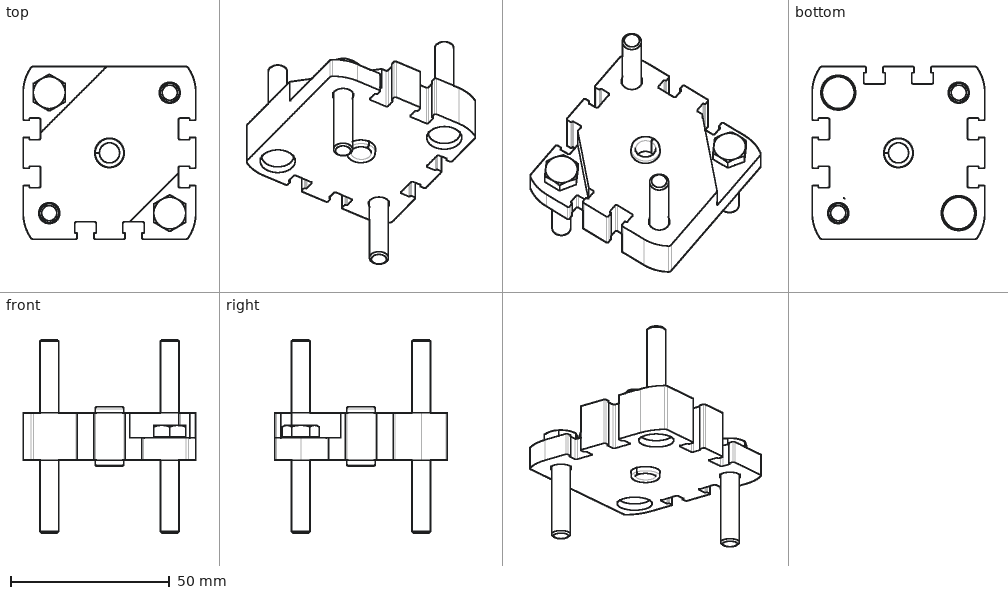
import cadquery as cq
import math

plate_side = 54.5
plate_height = 14.9
half_side = plate_side / 2
half_height = plate_height / 2
bolt_offset = 19.0
corner_arc_radius = 13.95
corner_fillet = 1.1

slot_offset = 7.55
slot_depth = 5.5
slot_width = 6.7
slot_mouth = 5.3
slot_lip = 2.0
slot_mouth_round = 0.5
slot_step_round = 0.2
slot_floor_round = 0.5
slot_near_edge = slot_offset - slot_mouth / 2

shank_diameter = 6.0
bolt_hole_diameter = 6.6
bolt_tip = 30.5
bolt_length = 30.0
tip_chamfer = 0.6
bearing_z = bolt_tip - bolt_length

hex_sides = 6
hex_across_flats = 10.0
hex_across_corners = hex_across_flats / math.cos(math.pi / hex_sides)
hex_head_height = 3.95
hex_chamfer_angle = 30.0
collar_diameter = 8.9
collar_height = 0.4
diagonal_offset = 28.05

cap_head_diameter = 10.0
cap_head_height = shank_diameter
counterbore_diameter = 11.0

sleeve_diameter = 9.0
sleeve_bore = 6.35
sleeve_slit = 0.2
sleeve_protrusion = 1.95
bore_diameter = 9.3
bore_depth = 5.0

hex_bolt_places = [(-bolt_offset, bolt_offset), (bolt_offset, -bolt_offset)]
cap_screw_places = [(-bolt_offset, -bolt_offset), (bolt_offset, bolt_offset)]


def plate_blank():
    """Square plate whose left and right sides curve inwards towards the corners."""
    arc_centre_x = half_side - corner_arc_radius
    rise = half_side - bolt_offset
    corner_x = arc_centre_x + math.sqrt(corner_arc_radius**2 - rise**2)
    half_angle = math.asin(rise / corner_arc_radius) / 2
    mid_x = arc_centre_x + corner_arc_radius * math.cos(half_angle)
    mid_y = bolt_offset + corner_arc_radius * math.sin(half_angle)
    return (
        cq.Workplane("XY", origin=(0, 0, -half_height))
        .moveTo(-corner_x, -half_side)
        .lineTo(corner_x, -half_side)
        .threePointArc((mid_x, -mid_y), (half_side, -bolt_offset))
        .lineTo(half_side, bolt_offset)
        .threePointArc((mid_x, mid_y), (corner_x, half_side))
        .lineTo(-corner_x, half_side)
        .threePointArc((-mid_x, mid_y), (-half_side, bolt_offset))
        .lineTo(-half_side, -bolt_offset)
        .threePointArc((-mid_x, -mid_y), (-corner_x, -half_side))
        .close()
        .extrude(plate_height)
        .edges("|Z and (>Y or <Y)")
        .fillet(corner_fillet)
    )


def t_slot(offset):
    """Cutter for one T-slot in the -Y side, with rounded mouth, lip and floor corners."""
    mouth = slot_mouth / 2
    wide = slot_width / 2
    lip_y = -half_side + slot_lip
    floor_y = -half_side + slot_depth
    round_y = -half_side + slot_mouth_round
    lip_corners = cq.selectors.BoxSelector(
        (offset - mouth - slot_step_round / 2, lip_y - slot_step_round / 2, -half_height),
        (offset + mouth + slot_step_round / 2, lip_y + slot_step_round / 2, half_height),
    )
    return (
        cq.Workplane("XY", origin=(offset, 0, -half_height))
        .moveTo(-mouth - slot_mouth_round, -half_side)
        .radiusArc((-mouth, round_y), -slot_mouth_round)
        .lineTo(-mouth, lip_y)
        .lineTo(-wide, lip_y)
        .lineTo(-wide, floor_y)
        .lineTo(wide, floor_y)
        .lineTo(wide, lip_y)
        .lineTo(mouth, lip_y)
        .lineTo(mouth, round_y)
        .radiusArc((mouth + slot_mouth_round, -half_side), -slot_mouth_round)
        .close()
        .extrude(plate_height)
        .edges("|Z and (<X or >X) and (not >Y)")
        .fillet(slot_step_round)
        .edges("|Z")
        .edges(lip_corners)
        .fillet(slot_step_round)
        .edges("|Z and >Y")
        .fillet(slot_floor_round)
    )


def corner_pocket(inner_end):
    """Cutter that lowers the (+X, -Y) corner to the bearing face of a hexagon bolt.

    The diagonal wall starts at x = inner_end and ends in the mouth of the +X side's slot.
    """
    return (
        cq.Workplane("XY", origin=(0, 0, -bearing_z))
        .moveTo(inner_end, inner_end - diagonal_offset)
        .lineTo(diagonal_offset - slot_near_edge, -slot_near_edge)
        .lineTo(plate_side, -slot_near_edge)
        .lineTo(plate_side, -plate_side)
        .lineTo(inner_end, -plate_side)
        .close()
        .extrude(plate_height)
    )


def make_plate():
    plate = plate_blank()
    for turn in (-90, 0, 90):
        for offset in (-slot_offset, slot_offset):
            plate = plate.cut(t_slot(offset).rotate((0, 0, 0), (0, 0, 1), turn))
    slotted_corner = corner_pocket(slot_near_edge)
    half_slotted_corner = corner_pocket(diagonal_offset - half_side)
    plate = plate.cut(slotted_corner)
    plate = plate.cut(half_slotted_corner.rotate((0, 0, 0), (0, 0, 1), 180))
    bolt_holes = (
        cq.Workplane("XY", origin=(0, 0, -half_height))
        .pushPoints(hex_bolt_places + cap_screw_places)
        .circle(bolt_hole_diameter / 2)
        .extrude(plate_height)
    )
    counterbores = (
        cq.Workplane("XY", origin=(0, 0, -half_height))
        .pushPoints(cap_screw_places)
        .circle(counterbore_diameter / 2)
        .extrude(half_height + bearing_z)
    )
    plate = plate.cut(bolt_holes).cut(counterbores)
    for start in (-half_height, half_height - bore_depth):
        bore = cq.Workplane("XY", origin=(0, 0, start)).circle(bore_diameter / 2).extrude(bore_depth)
        plate = plate.cut(bore)
    return plate


def bolt_shank():
    """Shank pointing up, from the bearing face at z = 0 to a chamfered tip."""
    return (
        cq.Workplane("XY")
        .circle(shank_diameter / 2)
        .extrude(bolt_length)
        .faces(">Z")
        .chamfer(tip_chamfer)
    )


def make_hex_bolt(place):
    """Hexagon bolt pointing down, with its head in an open corner pocket."""
    corner_radius = hex_across_corners / 2
    top_radius = hex_across_flats / 2
    chamfer_drop = (corner_radius - top_radius) * math.tan(math.radians(hex_chamfer_angle))
    head = (
        cq.Workplane("XY", origin=(0, 0, collar_height))
        .polygon(hex_sides, hex_across_corners)
        .extrude(hex_head_height - collar_height)
        .rotate((0, 0, 0), (0, 0, 1), 180 / hex_sides)
    )
    chamfer_envelope = (
        cq.Workplane("XZ")
        .lineTo(corner_radius, 0)
        .lineTo(corner_radius, hex_head_height - chamfer_drop)
        .lineTo(top_radius, hex_head_height)
        .lineTo(0, hex_head_height)
        .close()
        .revolve(360, (0, 0), (0, 1))
    )
    collar = cq.Workplane("XY").circle(collar_diameter / 2).extrude(collar_height)
    shank = bolt_shank().rotate((0, 0, 0), (1, 0, 0), 180)
    bolt = head.intersect(chamfer_envelope).union(collar).union(shank)
    return bolt.translate((place[0], place[1], -bearing_z))


def make_cap_screw(place):
    """Cap screw pointing up, with its round head sunk in a counterbore."""
    head = cq.Workplane("XY").circle(cap_head_diameter / 2).extrude(-cap_head_height)
    return bolt_shank().union(head).translate((place[0], place[1], bearing_z))


def make_sleeve():
    """Slit sleeve standing in the upper bore, with a fully rounded free end."""
    outer = sleeve_diameter / 2
    inner = sleeve_bore / 2
    end_round = (outer - inner) / 2
    foot = half_height - bore_depth
    top = half_height + sleeve_protrusion
    ring = (
        cq.Workplane("XZ")
        .moveTo(-inner, foot)
        .lineTo(-outer, foot)
        .lineTo(-outer, top - end_round)
        .threePointArc((end_round - outer, top), (-inner, top - end_round))
        .close()
        .revolve(360, (0, 0), (0, 1))
    )
    slit = (
        cq.Workplane("XY", origin=(0, 0, foot))
        .center(-outer / 2, 0)
        .rect(outer, sleeve_slit)
        .extrude(top - foot)
    )
    return ring.cut(slit)


plate = make_plate()
hex_bolts = [make_hex_bolt(place) for place in hex_bolt_places]
cap_screws = [make_cap_screw(place) for place in cap_screw_places]
upper_sleeve = make_sleeve()
lower_sleeve = upper_sleeve.mirror("XY")

bodies = [plate, *hex_bolts, *cap_screws, upper_sleeve, lower_sleeve]
result = cq.Compound.makeCompound([body.val() for body in bodies])